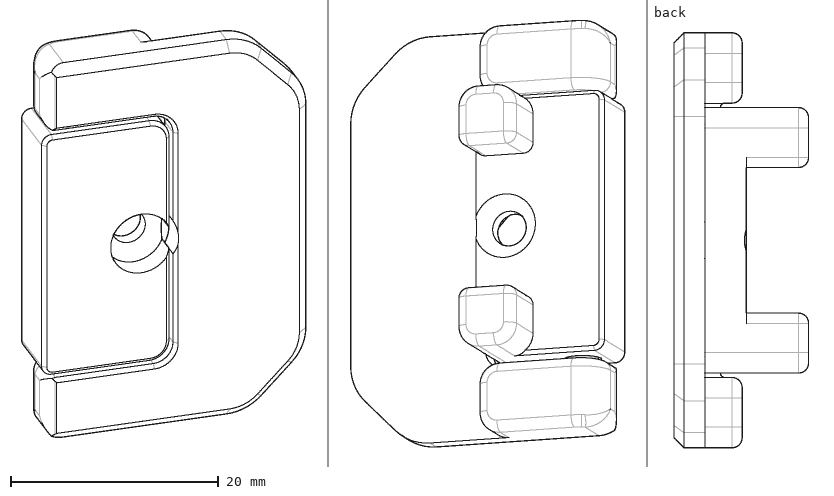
import cadquery as cq
import math


clearance = 0.4
corner_radius = 2.0
edge_radius = 1.0

base_depth = 7.0
base_back_y = 12.9
base_height = 25.6
base_front_radius = 1.0
base_chamfer = 0.4

peg_size = 5.8
peg_tip_x = -13.0

screw_y = 10.0
screw_diameter = 3.4
countersink_diameter = 6.25
countersink_angle = 90
rear_seat_x = -4.0
screw_relief_diameter = 7.5

flap_height = 40.0
flap_end_y = 27.0
plate_thickness = 3.0
plate_corner_cut = 6.0
plate_corner_radius = 5.0
plate_chamfer = 1.0
chamfer_angle = 45
notch_chamfer = 0.4

knuckle_depth = 6.6
knuckle_front_y = 0.4
knuckle_round_radius = 3.0
axis_x = -3.0
axis_y = knuckle_front_y + knuckle_round_radius
pin_diameter = 3.0
pin_hole_diameter = 3.6
pin_root_radius = clearance
pin_flat_x = -1.7

half_height = flap_height / 2
base_half_height = base_height / 2
notch_half_height = base_half_height + clearance
notch_back_y = base_back_y + clearance
straight_back_y = base_back_y - corner_radius


def block(x_range, y_range, z_range):
    """Box between the limits given for each axis."""
    x, y, z = x_range[0], y_range[0], z_range[0]
    length, width, height = x_range[1] - x, y_range[1] - y, z_range[1] - z
    return cq.Workplane("XY", origin=(x, y, z)).box(length, width, height, centered=False)


def round_edge_along_x(body, y, z, radius):
    """Round the edge parallel to X that lies at the given Y and Z."""
    edge = body.edges("|X").edges(cq.selectors.NearestToPointSelector((body.val().Center().x, y, z)))
    return edge.fillet(radius)


def make_peg():
    """Upper peg: large outer and small inner corners, rounded at the tip."""
    top = base_half_height
    bottom = top - peg_size
    front = base_back_y - peg_size
    peg = block((peg_tip_x, -base_depth / 2), (front, base_back_y), (bottom, top))
    for y in (front, base_back_y):
        peg = round_edge_along_x(peg, y, top, corner_radius)
        peg = round_edge_along_x(peg, y, bottom, edge_radius)
    return peg.faces("<X").edges().fillet(edge_radius)


def make_screw_hole():
    """Hole with a cone at the peg side, and a second cone that opens into a bore to X = 0."""
    head_radius = countersink_diameter / 2
    hole_radius = screw_diameter / 2
    cone_depth = (head_radius - hole_radius) / math.tan(math.radians(countersink_angle / 2))
    rear_bore_x = rear_seat_x + cone_depth
    profile = (
        cq.Workplane("XY", origin=(0, screw_y, 0))
        .moveTo(-base_depth, 0)
        .lineTo(-base_depth, head_radius)
        .lineTo(cone_depth - base_depth, hole_radius)
        .lineTo(rear_seat_x, hole_radius)
        .lineTo(rear_bore_x, head_radius)
        .lineTo(0, head_radius)
        .lineTo(0, 0)
        .close()
    )
    return profile.revolve(360, (0, 0, 0), (1, 0, 0))


def make_pin_hole():
    """Hole on the hinge axis through the full height of the base."""
    start = cq.Workplane("XY", origin=(axis_x, axis_y, -base_half_height))
    return start.circle(pin_hole_diameter / 2).extrude(base_height)


def make_base():
    """Block with two pegs, a screw hole and the hole for the hinge pin."""
    base = block((-base_depth, 0), (0, base_back_y), (-base_half_height, base_half_height))
    for z in (-base_half_height, base_half_height):
        base = round_edge_along_x(base, 0, z, base_front_radius)
        base = round_edge_along_x(base, base_back_y, z, corner_radius)
    base = base.faces(">X").edges().chamfer(base_chamfer)
    peg = make_peg()
    base = base.union(peg).union(peg.mirror("XY"))
    front_edge = cq.selectors.NearestToPointSelector((-base_depth, 0, 0))
    base = base.edges("|Z").edges(front_edge).chamfer(base_chamfer)
    base = base.cut(make_screw_hole())
    return base.cut(make_pin_hole())


def make_envelope():
    """Side outline of the whole flap, as deep as the knuckles, with a chamfered flat face.

    It reaches past the front so that the chamfer there stays clear of the knuckles.
    """
    cut_y = flap_end_y - plate_corner_cut
    cut_z = half_height - plate_corner_cut
    envelope = (
        cq.Workplane("YZ", origin=(-knuckle_depth, 0, 0))
        .moveTo(-plate_chamfer, -half_height)
        .lineTo(cut_y, -half_height)
        .lineTo(flap_end_y, -cut_z)
        .lineTo(flap_end_y, cut_z)
        .lineTo(cut_y, half_height)
        .lineTo(-plate_chamfer, half_height)
        .close()
        .extrude(knuckle_depth)
    )
    for z_side in (-1, 1):
        envelope = round_edge_along_x(envelope, cut_y, z_side * half_height, plate_corner_radius)
        envelope = round_edge_along_x(envelope, flap_end_y, z_side * cut_z, plate_corner_radius)
    return envelope.faces(">X").edges().chamfer(plate_chamfer)


def make_knuckle():
    """Upper knuckle, down to the flat face."""
    knuckle = block((-knuckle_depth, 0), (knuckle_front_y, base_back_y), (notch_half_height, half_height))
    for y, z in (
        (base_back_y, half_height),
        (base_back_y, notch_half_height),
        (knuckle_front_y, half_height),
    ):
        knuckle = round_edge_along_x(knuckle, y, z, corner_radius)

    round_y = knuckle_front_y + knuckle_round_radius
    front_round = (
        cq.Workplane("XY")
        .moveTo(0, base_back_y)
        .lineTo(-knuckle_depth, base_back_y)
        .lineTo(-knuckle_depth, round_y)
        .radiusArc((knuckle_round_radius - knuckle_depth, knuckle_front_y), -knuckle_round_radius)
        .lineTo(0, knuckle_front_y)
        .close()
        .extrude(half_height)
    )
    knuckle = knuckle.intersect(front_round)
    knuckle = knuckle.faces("<X").edges(">Z").fillet(edge_radius)

    tangent = knuckle_round_radius * math.tan(math.radians(chamfer_angle / 2))
    tangent_offset = tangent * math.sin(math.radians(chamfer_angle))
    rear_corner = (
        cq.Workplane("XY")
        .moveTo(-plate_chamfer - tangent, knuckle_front_y)
        .radiusArc((tangent_offset - plate_chamfer, knuckle_front_y + tangent_offset), -knuckle_round_radius)
        .lineTo(0, knuckle_front_y + plate_chamfer)
        .lineTo(0, knuckle_front_y)
        .close()
        .extrude(half_height)
    )
    return knuckle.cut(rear_corner)


def make_notch():
    """Space for the base between the knuckles, flared at the flat face."""

    def outline(x):
        return (
            cq.Workplane("YZ", origin=(x, 0, 0))
            .moveTo(-notch_back_y, -notch_half_height)
            .lineTo(notch_back_y - corner_radius, -notch_half_height)
            .radiusArc((notch_back_y, corner_radius - notch_half_height), -corner_radius)
            .lineTo(notch_back_y, notch_half_height - corner_radius)
            .radiusArc((notch_back_y - corner_radius, notch_half_height), -corner_radius)
            .lineTo(-notch_back_y, notch_half_height)
            .close()
        )

    straight = outline(-knuckle_depth).extrude(knuckle_depth)
    flare = outline(-notch_chamfer).extrude(notch_chamfer, taper=-chamfer_angle)
    return straight.union(flare)


def make_screw_relief():
    """Round clearance in the plate around the screw head."""
    start = cq.Workplane("YZ", origin=(-plate_thickness, screw_y, 0))
    return start.circle(screw_relief_diameter / 2).extrude(plate_thickness)


def make_pin():
    """Round pin between the knuckles, flared at both ends and flattened toward X = 0."""
    radius = pin_diameter / 2
    root_z = notch_half_height - pin_root_radius
    pin = (
        cq.Workplane("XZ", origin=(axis_x, axis_y, 0))
        .moveTo(0, -notch_half_height)
        .lineTo(radius + pin_root_radius, -notch_half_height)
        .radiusArc((radius, -root_z), pin_root_radius)
        .lineTo(radius, root_z)
        .radiusArc((radius + pin_root_radius, notch_half_height), pin_root_radius)
        .lineTo(0, notch_half_height)
        .close()
        .revolve()
    )
    flat = block((pin_flat_x, 0), (0, 2 * axis_y), (-notch_half_height, notch_half_height))
    return pin.cut(flat)


def make_flap():
    """Plate with two knuckles, the notch for the base, and the pin across the notch."""
    knuckle = make_knuckle()
    flap = block((-plate_thickness, 0), (straight_back_y, flap_end_y), (-half_height, half_height))
    flap = flap.union(knuckle).union(knuckle.mirror("XY"))
    flap = flap.intersect(make_envelope())
    flap = flap.cut(make_notch())
    flap = flap.cut(make_screw_relief())
    return flap.union(make_pin())


base = make_base()
flap = make_flap()

result = cq.Compound.makeCompound([*base.solids().vals(), *flap.solids().vals()])